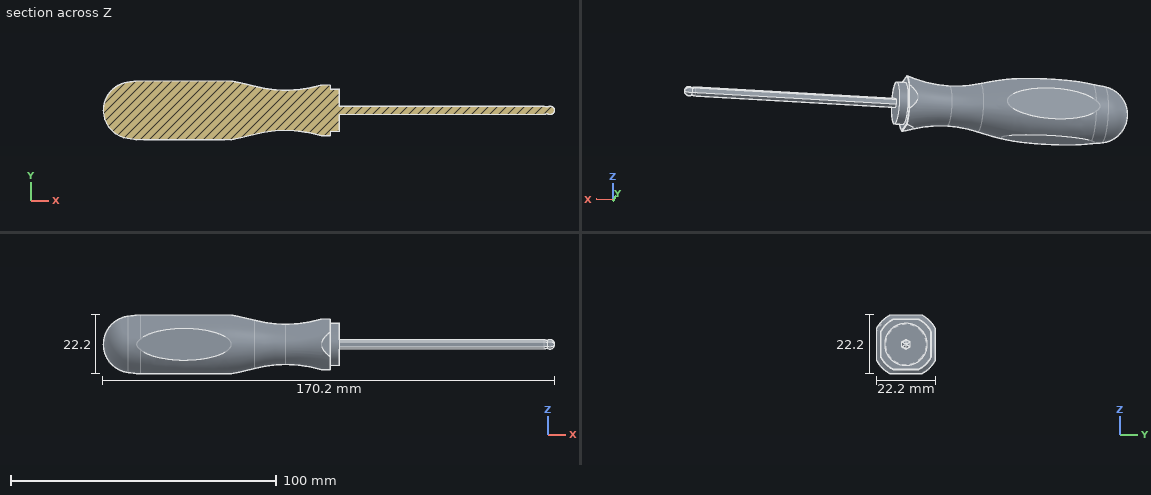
import cadquery as cq
import math

overall_length = 170.18
cap_length = 9.3
shoulder_end = 14.0
grip_middle = 30.6
grip_end = 57.0
neck_middle = 68.8
flange_face = 85.73
collar_length = 3.3
collar_end = flange_face + collar_length

grip_radius = 12.65
grip_arc_radius = 102.0
cap_sphere_radius = 10.8
flare_arc_radius = 47.0
flange_rim_chamfer = 0.25
collar_radius = 8.0
grip_across_flats = 22.23
flange_across_flats = 19.2

blade_across_flats = 3.18
blade_half_width = blade_across_flats / 2
flat_pair_angles = (30, 90, 150)
blade_root = flange_face
undercut_start = 166.2
undercut_end = 167.4
undercut_half_width = 1.3
ball_middle = 168.75
tip_half_width = 0.25


def cap_radius_at(x):
    """Radius of the spherical cap that rounds off the handle."""
    return math.sqrt(cap_sphere_radius**2 - (cap_sphere_radius - x) ** 2)


def grip_radius_at(x):
    """Radius of the barrel-shaped grip, an arc bulging around grip_middle."""
    drop = grip_arc_radius - math.sqrt(grip_arc_radius**2 - (x - grip_middle) ** 2)
    return grip_radius - drop


grip_end_slope = math.asin((grip_end - grip_middle) / grip_arc_radius)
neck_arc_radius = (neck_middle - grip_end) / math.sin(grip_end_slope)
neck_centre_radius = grip_radius_at(grip_end) + neck_arc_radius * math.cos(grip_end_slope)


def neck_radius_at(x):
    """Radius of the concave neck arc between the grip and neck_middle, where it is narrowest."""
    return neck_centre_radius - math.sqrt(neck_arc_radius**2 - (x - neck_middle) ** 2)


def flare_radius_at(x):
    """Radius of the concave arc that widens from neck_middle to the flange."""
    rise = flare_arc_radius - math.sqrt(flare_arc_radius**2 - (x - neck_middle) ** 2)
    return neck_radius_at(neck_middle) + rise


def make_handle():
    """Handle turned about the X axis: cap, shoulder cone, grip, neck, flared flange and collar."""
    cap_mid = cap_length / 2
    neck_mid = (grip_end + neck_middle) / 2
    flare_mid = (neck_middle + flange_face) / 2
    profile = (
        cq.Workplane("XY")
        .moveTo(0, 0)
        .threePointArc((cap_mid, cap_radius_at(cap_mid)), (cap_length, cap_radius_at(cap_length)))
        .lineTo(shoulder_end, grip_radius_at(shoulder_end))
        .threePointArc((grip_middle, grip_radius), (grip_end, grip_radius_at(grip_end)))
        .threePointArc((neck_mid, neck_radius_at(neck_mid)), (neck_middle, neck_radius_at(neck_middle)))
        .threePointArc((flare_mid, flare_radius_at(flare_mid)), (flange_face, flare_radius_at(flange_face)))
        .lineTo(flange_face, collar_radius)
        .lineTo(collar_end, collar_radius)
        .lineTo(collar_end, 0)
        .close()
    )
    return profile.revolve(360, (0, 0, 0), (1, 0, 0))


def square_bar(start, end, across_flats):
    """Square bar centred on the X axis between two places along it."""
    middle = (start + end) / 2
    return cq.Workplane("XY").box(end - start, across_flats, across_flats).translate((middle, 0, 0))


def blade_flat_pair(angle):
    """Bar bounded by one opposite pair of blade flats, turned about the X axis by angle."""
    width = 2 * blade_across_flats
    upper_side = (
        cq.Workplane("XZ", origin=(0, width / 2, 0))
        .moveTo(blade_root, 0)
        .lineTo(blade_root, blade_half_width)
        .lineTo(undercut_start, blade_half_width)
        .lineTo(undercut_end, undercut_half_width)
        .threePointArc((ball_middle, blade_half_width), (overall_length, tip_half_width))
        .lineTo(overall_length, 0)
        .close()
        .extrude(width)
    )
    bar = upper_side.union(upper_side.mirror("XY"))
    return bar.rotate((0, 0, 0), (1, 0, 0), angle)


def make_blade():
    """Hexagonal blade: the common volume of its three pairs of flats."""
    blade = blade_flat_pair(flat_pair_angles[0])
    for angle in flat_pair_angles[1:]:
        blade = blade.intersect(blade_flat_pair(angle))
    return blade


def cut_handle_flats(handle):
    """Flatten four sides of the grip and, closer to the axis, four sides of the flange."""
    grip_envelope = square_bar(0, neck_middle, grip_across_flats)
    flange_envelope = square_bar(neck_middle, collar_end, flange_across_flats)
    return handle.intersect(grip_envelope.union(flange_envelope))


def chamfer_flange_rim(handle):
    """Bevel the outer edge of the flange face, along both its flats and its round corners."""
    shoulder_face = handle.faces("|X").faces("<X")
    outer_rim = handle.newObject([shoulder_face.val().outerWire()])
    return outer_rim.edges().chamfer(flange_rim_chamfer)


handle = chamfer_flange_rim(cut_handle_flats(make_handle()))
result = handle.union(make_blade())